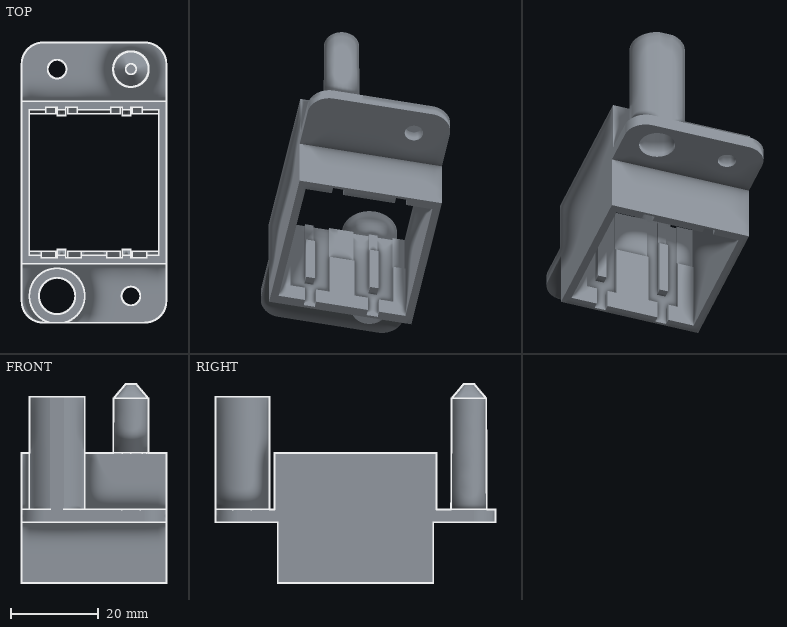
import cadquery as cq

WIDTH = 33.0
FLANGE_LENGTH = 63.8
FLANGE_THICKNESS = 3.0
CORNER_RADIUS = 5.0

TOP_Z = 15.8
BOTTOM_Z = -13.8
UPPER_LENGTH = 36.9
LOWER_LENGTH = 35.4

CAVITY_WIDTH = 29.4
UPPER_WALL_Y = 16.55
LOWER_WALL_Y = 15.6
LEDGE_TOP_Z = 4.8
LEDGE_DROP = UPPER_WALL_Y - LOWER_WALL_Y

RAIL_X = 7.4
RAIL_WIDTH = 2.0
RAIL_Y = 15.2
RAIL_TOP_Z = 9.7
RAIL_DROP = UPPER_WALL_Y - RAIL_Y
RAIL_BOTTOM_Z = -5.6
GROOVE_BACK_Y = 17.1
GROOVE_FLOOR_Z = -9.2
GROOVE_FAR_X = {1: 10.95, -1: 11.95}
GROOVE_NEAR_X = {1: 3.85, -1: 2.85}
SLOT_OUTER_X = 8.6
SLOT_INNER_X = 6.0

FEATURE_X = 8.4
FEATURE_Y = 25.8
SCREW_HOLE_DIAMETER = 4.2
PIN_BASE_DIAMETER = 8.2
PIN_SHOULDER_DIAMETER = 8.0
PIN_TIP_DIAMETER = 2.4
PIN_SHOULDER_Z = 28.2
PIN_TOP_Z = 31.5
TUBE_DIAMETER = 12.6
TUBE_BORE = 8.2
TUBE_TOP_Z = 28.6


def block(x_range, y_range, z_range):
    """Axis-aligned box between the given limits, in either order."""
    low = [min(limits) for limits in (x_range, y_range, z_range)]
    size = [abs(limits[1] - limits[0]) for limits in (x_range, y_range, z_range)]
    return cq.Workplane("XY").box(*size, centered=False).translate(tuple(low))


def centered_block(length, z_range):
    """Full-width box centred on the Z axis."""
    return block((-WIDTH / 2, WIDTH / 2), (-length / 2, length / 2), z_range)


def extruded_profile(points, x_range):
    """Prism along X with the given (Y, Z) outline."""
    profile = cq.Workplane("YZ").polyline(points).close()
    return profile.extrude(x_range[1] - x_range[0]).translate((x_range[0], 0, 0))


def housing():
    flange = centered_block(FLANGE_LENGTH, (0, FLANGE_THICKNESS)).edges("|Z").fillet(CORNER_RADIUS)
    upper = centered_block(UPPER_LENGTH, (0, TOP_Z))
    lower = centered_block(LOWER_LENGTH, (BOTTOM_Z, 0))
    return flange.union(upper).union(lower)


def cavity():
    ledge_bottom_z = LEDGE_TOP_Z - LEDGE_DROP
    outline = [
        (-LOWER_WALL_Y, BOTTOM_Z),
        (LOWER_WALL_Y, BOTTOM_Z),
        (LOWER_WALL_Y, ledge_bottom_z),
        (UPPER_WALL_Y, LEDGE_TOP_Z),
        (UPPER_WALL_Y, TOP_Z),
        (-UPPER_WALL_Y, TOP_Z),
        (-UPPER_WALL_Y, LEDGE_TOP_Z),
        (-LOWER_WALL_Y, ledge_bottom_z),
    ]
    return extruded_profile(outline, (-CAVITY_WIDTH / 2, CAVITY_WIDTH / 2))


def latch_recess(side, end):
    """Groove pair around one rail, with a slot below the rail running out of the housing."""
    y_range = (0, end * GROOVE_BACK_Y)
    groove_x = (side * GROOVE_NEAR_X[end], side * GROOVE_FAR_X[end])
    slot_x = (side * SLOT_INNER_X, side * SLOT_OUTER_X)
    grooves = block(groove_x, y_range, (GROOVE_FLOOR_Z, TOP_Z))
    return grooves.union(block(slot_x, y_range, (BOTTOM_Z, TOP_Z)))


def rail(side, end):
    """Latch rail with a sloped upper end, rooted in the end wall."""
    root_y = LOWER_LENGTH / 2
    outline = [
        (end * root_y, RAIL_BOTTOM_Z),
        (end * RAIL_Y, RAIL_BOTTOM_Z),
        (end * RAIL_Y, RAIL_TOP_Z - RAIL_DROP),
        (end * UPPER_WALL_Y, RAIL_TOP_Z),
        (end * UPPER_WALL_Y, TOP_Z),
        (end * root_y, TOP_Z),
    ]
    center_x = side * RAIL_X
    return extruded_profile(outline, (center_x - RAIL_WIDTH / 2, center_x + RAIL_WIDTH / 2))


def guide_pin():
    outline = [
        (0, 0),
        (PIN_BASE_DIAMETER / 2, 0),
        (PIN_BASE_DIAMETER / 2, FLANGE_THICKNESS),
        (PIN_SHOULDER_DIAMETER / 2, PIN_SHOULDER_Z),
        (PIN_TIP_DIAMETER / 2, PIN_TOP_Z),
        (0, PIN_TOP_Z),
    ]
    pin = cq.Workplane("XZ").polyline(outline).close().revolve(360, (0, 0), (0, 1))
    return pin.translate((FEATURE_X, FEATURE_Y, 0))


def upright_cylinder(x, y, diameter, height):
    return cq.Workplane("XY").center(x, y).circle(diameter / 2).extrude(height)


def guide_tube():
    """Tube trimmed flat where it would overhang the end of the flange."""
    tube = upright_cylinder(-FEATURE_X, -FEATURE_Y, TUBE_DIAMETER, TUBE_TOP_Z)
    return tube.intersect(centered_block(FLANGE_LENGTH, (0, TUBE_TOP_Z)))


result = housing().cut(cavity())
for end in (-1, 1):
    for side in (-1, 1):
        result = result.cut(latch_recess(side, end)).union(rail(side, end))

result = result.union(guide_pin()).union(guide_tube())
result = result.cut(upright_cylinder(-FEATURE_X, -FEATURE_Y, TUBE_BORE, TUBE_TOP_Z))
for side in (-1, 1):
    screw_hole = upright_cylinder(side * FEATURE_X, -side * FEATURE_Y, SCREW_HOLE_DIAMETER, FLANGE_THICKNESS)
    result = result.cut(screw_hole)